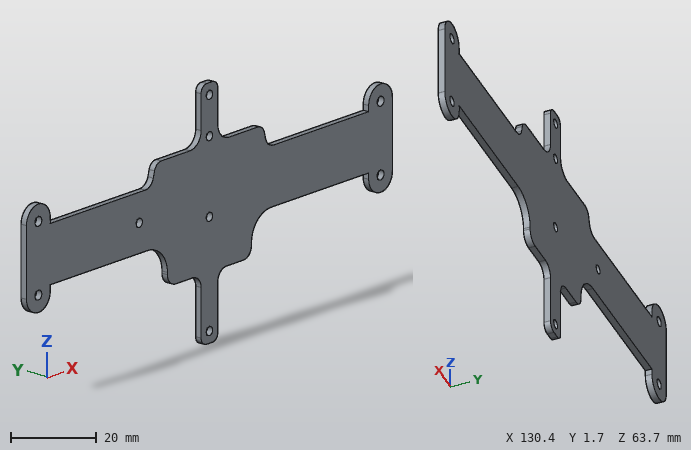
import cadquery as cq

thickness = 1.7

overall_length = 130.4
lug_radius = 4.25
lug_hole_diameter = 2.4
lug_spacing = 18.0
arm_center_z = 4.55
arm_width = 15.0
arm_top_z = arm_center_z + arm_width / 2
arm_bottom_z = arm_center_z - arm_width / 2
lug_x = overall_length / 2 - lug_radius

shoulder_top_z = 17.8
shoulder_top_half_width = 19.1
shoulder_base_half_width = 20.6
shoulder_corner_radius = 2.5
shoulder_base_radius = 3.0
body_bottom_z = -13.5
body_half_width = 15.0
body_corner_radius = 3.0
body_arm_radius = 7.0

overall_height = 63.7
tab_top_z = 32.8
tab_bottom_z = tab_top_z - overall_height
tab_half_width = 3.0
tab_tip_radius = 2.0
upper_tab_root_radius = 4.0
lower_tab_root_radius = 3.0

small_hole_diameter = 2.2
tab_hole_inset = 3.0
upper_body_hole_z = 19.7
arm_hole_x = -25.0
small_hole_centers = [
    (0, 0),
    (0, upper_body_hole_z),
    (0, tab_top_z - tab_hole_inset),
    (0, tab_bottom_z + tab_hole_inset),
    (arm_hole_x, arm_center_z),
]


def extrude_through(sketch):
    """Extrude an XZ sketch to the plate thickness, centred on Y = 0."""
    return sketch.extrude(thickness / 2, both=True)


def fillet_corners(plate, half_width, z, radius):
    """Round the mirrored pair of outline corners at X = +/- half_width and height z."""
    for x in (-half_width, half_width):
        corner = cq.selectors.NearestToPointSelector((x, 0, z))
        plate = plate.edges("|Y").edges(corner).fillet(radius)
    return plate


def make_plate():
    """Arm, body and tabs as one outline with rounded corners."""
    right_side = [
        (tab_half_width, tab_top_z),
        (tab_half_width, shoulder_top_z),
        (shoulder_top_half_width, shoulder_top_z),
        (shoulder_base_half_width, arm_top_z),
        (lug_x, arm_top_z),
        (lug_x, arm_bottom_z),
        (body_half_width, arm_bottom_z),
        (body_half_width, body_bottom_z),
        (tab_half_width, body_bottom_z),
        (tab_half_width, tab_bottom_z),
    ]
    left_side = [(-x, z) for x, z in reversed(right_side)]
    plate = extrude_through(cq.Workplane("XZ").polyline(right_side + left_side).close())

    corner_fillets = [
        (tab_half_width, tab_top_z, tab_tip_radius),
        (tab_half_width, shoulder_top_z, upper_tab_root_radius),
        (shoulder_top_half_width, shoulder_top_z, shoulder_corner_radius),
        (shoulder_base_half_width, arm_top_z, shoulder_base_radius),
        (body_half_width, arm_bottom_z, body_arm_radius),
        (body_half_width, body_bottom_z, body_corner_radius),
        (tab_half_width, body_bottom_z, lower_tab_root_radius),
        (tab_half_width, tab_bottom_z, tab_tip_radius),
    ]
    for half_width, z, radius in corner_fillets:
        plate = fillet_corners(plate, half_width, z, radius)
    return plate


def make_lug_pair(x):
    """Upright strip with round ends that carries two lug holes."""
    strip_length = lug_spacing + 2 * lug_radius
    sketch = cq.Workplane("XZ").center(x, arm_center_z).slot2D(strip_length, 2 * lug_radius, 90)
    return extrude_through(sketch)


def make_holes(centers, diameter):
    """Through-hole cutters at the given (x, z) centres."""
    return extrude_through(cq.Workplane("XZ").pushPoints(centers).circle(diameter / 2))


lug_hole_centers = [
    (x, arm_center_z + offset)
    for x in (-lug_x, lug_x)
    for offset in (-lug_spacing / 2, lug_spacing / 2)
]

result = make_plate()
for end_x in (-lug_x, lug_x):
    result = result.union(make_lug_pair(end_x))
result = result.cut(make_holes(lug_hole_centers, lug_hole_diameter))
result = result.cut(make_holes(small_hole_centers, small_hole_diameter))